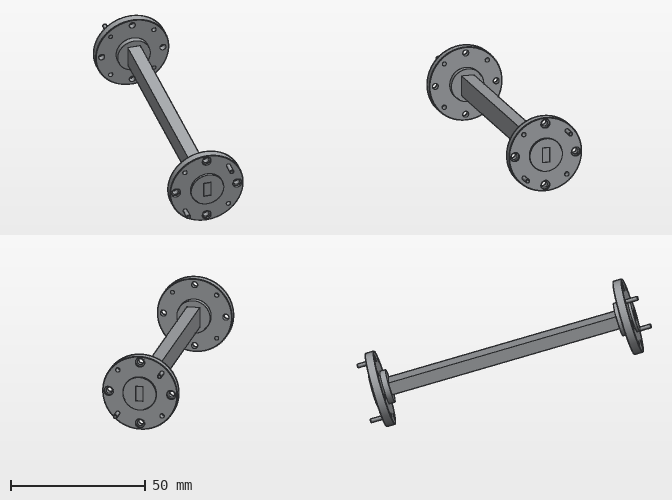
import cadquery as cq
import math

overall_length = 109.4

flange_diameter = 28.5
flange_thickness = 3.4
flange_chamfer = 0.2
hub_diameter = 12.7
boss_height = 1.0
hub_height = 2.2

window_width = 2.8
window_height = 5.7
window_depth = 0.2
wall = 1.02
tube_width = window_width + 2 * wall
tube_height = window_height + 2 * wall

pitch_radius = 11.9
bolt_hole_diameter = 2.3
counterbore_diameter = 3.5
counterbore_depth = 1.0
socket_diameter = 1.6
pin_diameter = 1.5
pin_chamfer = 0.2
pin_projection = 4.7

face_x = overall_length / 2 - pin_projection
inner_face_x = face_x - flange_thickness
boss_x = face_x + boss_height
hub_x = inner_face_x - hub_height

BOLT_ANGLES = [0, 90, 180, 270]
PIN_ANGLES = [45, 225]
SOCKET_ANGLES = [135, 315]

END_TURNS = [0, 180]


def rod(diameter, start_x, end_x):
    """Cylinder along the X axis."""
    return cq.Workplane("YZ", origin=(start_x, 0, 0)).circle(diameter / 2).extrude(end_x - start_x)


def rods_on_pitch_circle(diameter, start_x, end_x, angles):
    """Parallel cylinders on the pitch circle; angles run from +Y towards +Z."""
    centres = [
        (pitch_radius * math.cos(math.radians(angle)), pitch_radius * math.sin(math.radians(angle)))
        for angle in angles
    ]
    plane = cq.Workplane("YZ", origin=(start_x, 0, 0))
    return plane.pushPoints(centres).circle(diameter / 2).extrude(end_x - start_x)


def flange():
    """Flange of the +X end, drilled and recessed."""
    disc = rod(flange_diameter, inner_face_x, face_x)
    disc = disc.faces("|X").edges().chamfer(flange_chamfer)
    body = disc.union(rod(hub_diameter, hub_x, boss_x))

    drillings = [
        (bolt_hole_diameter, inner_face_x, BOLT_ANGLES),
        (counterbore_diameter, face_x - counterbore_depth, BOLT_ANGLES),
        (socket_diameter, inner_face_x, SOCKET_ANGLES),
        (pin_diameter, inner_face_x, PIN_ANGLES),
    ]
    for diameter, bottom_x, angles in drillings:
        body = body.cut(rods_on_pitch_circle(diameter, bottom_x, face_x, angles))

    boss_plane = cq.Workplane("YZ", origin=(boss_x, 0, 0))
    window = boss_plane.rect(window_width, window_height).extrude(-window_depth)
    return body.cut(window)


def alignment_pin(angle):
    """Pin of the +X end, flush with the inner flange face and chamfered at its tip."""
    pin = rods_on_pitch_circle(pin_diameter, inner_face_x, overall_length / 2, [angle])
    return pin.faces(">X").edges().chamfer(pin_chamfer)


def at_end(shape, turn):
    """Turn a +X end shape about Z to place it at either end."""
    return shape.rotate((0, 0, 0), (0, 0, 1), turn)


waveguide = cq.Workplane("XY").box(2 * hub_x, tube_width, tube_height)
for turn in END_TURNS:
    waveguide = waveguide.union(at_end(flange(), turn))

pins = []
for turn in END_TURNS:
    for angle in PIN_ANGLES:
        pins.append(at_end(alignment_pin(angle), turn).val())

result = cq.Compound.makeCompound([waveguide.val(), *pins])